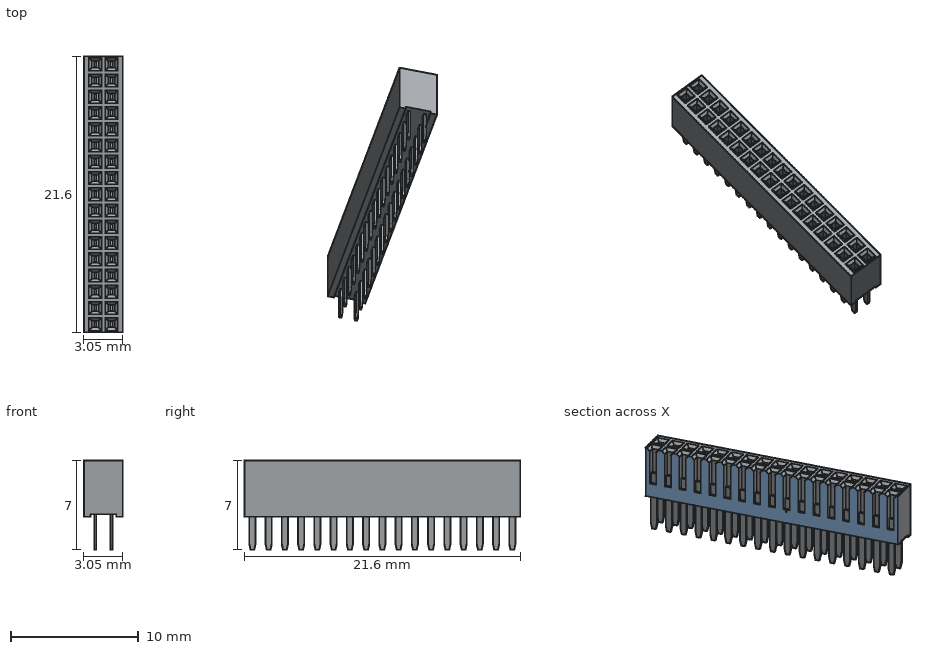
import cadquery as cq


housing_length = 21.6
housing_width = 3.05
housing_height = 4.4
channel_width = 2.0
channel_depth = 0.2

contacts_per_row = 17
rows = 2
pitch = housing_length / contacts_per_row

mouth_size = 1.0
throat_size = 0.52
lead_in_depth = (mouth_size - throat_size) / 2
socket_depth = 3.02

overall_height = 7.0
pin_thickness = 0.2
pin_width = 0.52
pin_width_in_socket = 0.4
pin_tip_width = 0.3
pin_taper_length = 0.5
pin_height_in_socket = 0.86

pin_bottom = housing_height - overall_height
socket_floor = housing_height - socket_depth
pin_top = socket_floor + pin_height_in_socket


def make_housing():
    """Plain block with a shallow channel along its underside, leaving a rail on each side."""
    block = cq.Workplane("XY").box(
        housing_width, housing_length, housing_height, centered=(True, True, False)
    )
    channel = cq.Workplane("XY").box(
        channel_width, housing_length, channel_depth, centered=(True, True, False)
    )
    return block.cut(channel)


def make_socket():
    """Square blind hole with a funnel-shaped lead-in at the housing top."""
    lead_in = (
        cq.Workplane("XY", origin=(0, 0, housing_height))
        .rect(mouth_size, mouth_size)
        .workplane(offset=-lead_in_depth)
        .rect(throat_size, throat_size)
        .loft(ruled=True)
    )
    hole = cq.Workplane("XY", origin=(0, 0, socket_floor)).box(
        throat_size, throat_size, socket_depth - lead_in_depth, centered=(True, True, False)
    )
    return lead_in.union(hole)


def make_pin():
    """Flat pin, thin in X: narrow inside the socket, wide below its floor, tapered to the tip in Y."""
    half_width = pin_width / 2
    half_upper = pin_width_in_socket / 2
    half_tip = pin_tip_width / 2
    taper_start = pin_bottom + pin_taper_length
    outline = [
        (-half_width, socket_floor),
        (-half_upper, socket_floor),
        (-half_upper, pin_top),
        (half_upper, pin_top),
        (half_upper, socket_floor),
        (half_width, socket_floor),
        (half_width, taper_start),
        (half_tip, pin_bottom),
        (-half_tip, pin_bottom),
        (-half_width, taper_start),
    ]
    return cq.Workplane("YZ").polyline(outline).close().extrude(pin_thickness / 2, both=True)


def at_every_contact(feature):
    """Copies of a feature at all contact positions, as one compound."""
    positions = cq.Workplane("XY").rarray(pitch, pitch, rows, contacts_per_row)
    shape = feature.val()
    return positions.eachpoint(lambda place: shape.moved(place), combine=False).combine()


sockets = at_every_contact(make_socket())
pins = at_every_contact(make_pin())
result = make_housing().cut(sockets).union(pins)